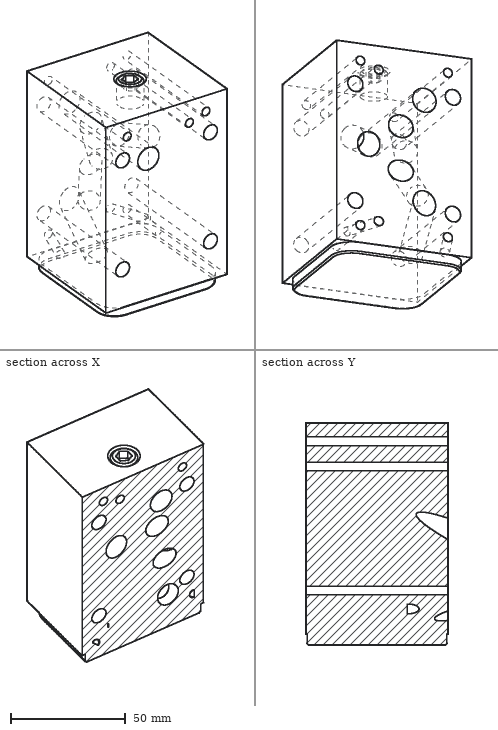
import cadquery as cq
import math


block_x = 62.0
block_y = 63.5
total_height = 96.8
pad_height = 4.8
pad_x = 61.2
pad_y = 60.4
pad_corner_radius = 9.5
pad_chamfer = 0.8
block_height = total_height - pad_height
port_face_x = -block_x / 2
pattern_z = pad_height + block_height / 2

mount_span_y = 46.0
mount_span_z = 54.0
mount_diameter = 7.2

pressure_y = mount_span_y / 2 - 6.3
work_y = mount_span_y / 2 - 21.4
work_offset_z = 10.3
tank_y = mount_span_y / 2 - 32.5
tank_offset_z = 23.8
pilot_y = mount_span_y / 2 - 11.0
pilot_offset_z = 35.05
corner_y = 20.6
corner_offset_z = 38.05
tank_diameter = 11.0
drilling_diameter = 10.4
lower_work_diameter = 9.7
small_diameter = 4.1

main_depth = 32.9
small_depth = 19.4
drill_lead_in = 9.7
main_tilt = 26.0
lower_work_tilt = 35.0
pilot_tilt = 24.0
corner_tilt = 18.0
toward_plus_y = 0.0
toward_minus_y = 180.0
pressure_heading = 108.0
tank_heading = 247.0
corner_heading = 315.0

plug_x = 0.0
plug_y = work_y
plug_length = 11.6
plug_radius = 6.0
plug_chamfer = 1.0
countersink_depth = 1.1
socket_across_flats = 6.1
socket_wall_depth = 3.9
socket_point_angle = 120.0


def x_hole(diameter, y, z):
    """Straight hole along X through the whole block."""
    start = cq.Vector(port_face_x, y, z)
    return cq.Solid.makeCylinder(diameter / 2, block_x, start, cq.Vector(1, 0, 0))


def slanted_hole(diameter, y, z, tilt, heading, depth):
    """Blind drilling whose axis crosses the ported face at (y, z)."""
    sideways = math.sin(math.radians(tilt))
    axis = cq.Vector(
        math.cos(math.radians(tilt)),
        sideways * math.cos(math.radians(heading)),
        sideways * math.sin(math.radians(heading)),
    )
    start = cq.Vector(port_face_x, y, z) - axis * drill_lead_in
    return cq.Solid.makeCylinder(diameter / 2, drill_lead_in + depth, start, axis)


def through_holes():
    """Mounting holes, upper tank port and upper small holes."""
    holes = [
        x_hole(mount_diameter, side * mount_span_y / 2, pattern_z + level * mount_span_z / 2)
        for side in (-1, 1)
        for level in (-1, 1)
    ]
    holes.append(x_hole(tank_diameter, tank_y, pattern_z + tank_offset_z))
    holes.append(x_hole(small_diameter, pilot_y, pattern_z + pilot_offset_z))
    for side in (-1, 1):
        holes.append(x_hole(small_diameter, side * corner_y, pattern_z + corner_offset_z))
    return holes


def slanted_holes():
    """Pressure, work and lower tank ports, and the lower small holes."""
    upper_work_z = pattern_z + work_offset_z
    lower_work_z = pattern_z - work_offset_z
    tank_z = pattern_z - tank_offset_z
    pilot_z = pattern_z - pilot_offset_z
    corner_z = pattern_z - corner_offset_z
    return [
        slanted_hole(drilling_diameter, pressure_y, pattern_z, main_tilt, pressure_heading, main_depth),
        slanted_hole(drilling_diameter, work_y, upper_work_z, main_tilt, toward_minus_y, main_depth),
        slanted_hole(lower_work_diameter, work_y, lower_work_z, lower_work_tilt, toward_minus_y, main_depth),
        slanted_hole(drilling_diameter, tank_y, tank_z, main_tilt, tank_heading, main_depth),
        slanted_hole(small_diameter, pilot_y, pilot_z, pilot_tilt, toward_plus_y, small_depth),
        slanted_hole(small_diameter, corner_y, corner_z, corner_tilt, corner_heading, small_depth),
        slanted_hole(small_diameter, -corner_y, corner_z, corner_tilt, toward_minus_y, small_depth),
    ]


def plug_seat():
    """Countersunk blind hole that the screw plug fills."""
    mouth_radius = plug_radius + countersink_depth
    return (
        cq.Workplane("XZ")
        .moveTo(0, total_height - plug_length)
        .lineTo(plug_radius, total_height - plug_length)
        .lineTo(plug_radius, total_height - countersink_depth)
        .lineTo(mouth_radius, total_height)
        .lineTo(0, total_height)
        .close()
        .revolve(360, (0, 0, 0), (0, 1, 0))
        .translate((plug_x, plug_y, 0))
    )


def make_block():
    block = cq.Workplane("XY").workplane(offset=pad_height).box(
        block_x, block_y, block_height, centered=(True, True, False)
    )
    pad = (
        cq.Workplane("XY")
        .box(pad_x, pad_y, pad_height, centered=(True, True, False))
        .edges("|Z")
        .fillet(pad_corner_radius)
        .faces("<Z")
        .chamfer(pad_chamfer)
    )
    block = block.union(pad)
    for hole in through_holes() + slanted_holes():
        block = block.cut(cq.Workplane(hole))
    return block.cut(plug_seat())


def make_plug():
    """Headless plug with a chamfered rim and a hexagon socket ending in a drill point."""
    plug = (
        cq.Workplane("XY")
        .circle(plug_radius)
        .extrude(plug_length)
        .faces(">Z")
        .chamfer(plug_chamfer)
    )
    corner_radius = socket_across_flats / math.sqrt(3)
    point_depth = corner_radius / math.tan(math.radians(socket_point_angle / 2))
    wall_bottom = plug_length - socket_wall_depth
    hexagon = (
        cq.Workplane("XY")
        .workplane(offset=wall_bottom - point_depth)
        .polygon(6, 2 * corner_radius)
        .extrude(socket_wall_depth + point_depth)
    )
    drill = (
        cq.Workplane("XZ")
        .moveTo(0, wall_bottom - point_depth)
        .lineTo(corner_radius, wall_bottom)
        .lineTo(corner_radius, plug_length)
        .lineTo(0, plug_length)
        .close()
        .revolve(360, (0, 0, 0), (0, 1, 0))
    )
    socket = hexagon.intersect(drill)
    return plug.cut(socket).translate((plug_x, plug_y, total_height - plug_length))


block = make_block()
plug = make_plug()

result = cq.Compound.makeCompound([block.solids().val(), plug.solids().val()])